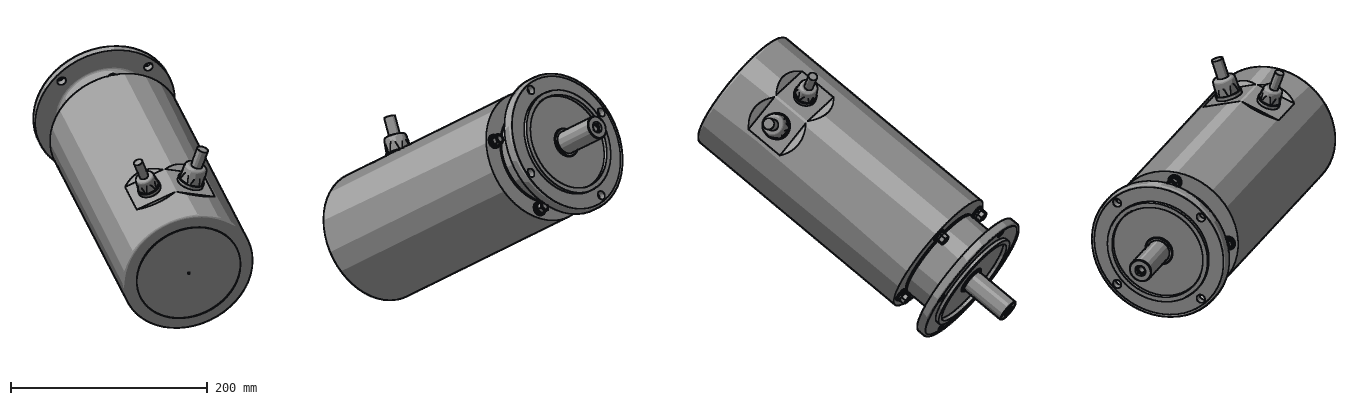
import cadquery as cq
import math


shaft_d = 24.0
shaft_chamfer = 0.7
collar_d = 30.0
collar_length = 1.5
collar_chamfer = 0.7
centre_hole_d = 7.0
centre_sink_d = 11.5
centre_bore_d = 8.7
centre_bore_end = 3.5
centre_hole_depth = 18.0
drill_point_angle = 118.0

pilot_x = 46.5
pilot_d = 110.0
pilot_recess_d = 100.0
pilot_recess_depth = 4.5
flange_x = 50.5
flange_d = 148.0
rim_bead_inner_d = 142.0
rim_bead_height = 1.0
flange_back_x = 58.8
flange_hole_d = 9.0
flange_hole_circle_d = 130.0
neck_d = 101.0
neck_fillet = 3.5
spigot_d = 101.5

overall_length = 363.0
housing_x = 94.7
housing_d = 138.0
housing_end_x = 361.2
housing_fillet = 3.3
end_disc_d = 110.0
end_disc_x = 362.3
end_nub_d = 1.8

tie_rod_count = 4
tie_rod_circle_d = 117.5
seat_d = 14.0
seat_height = 1.8
washer_d = 11.5
washer_height = 2.0
nut_across_flats = 9.8
nut_height = 5.5
nut_chamfer = 0.55
rod_d = 7.0
rod_projection = 0.7

gland_x = 294.0
gland_tilt = 19.0
pocket_half_angle = 17.9
pocket_floor_length = 42.5
pocket_top_length = 59.5
pocket_floor_r = housing_d / 2 * math.cos(math.radians(pocket_half_angle))

gland_base_height = 4.0
hex_sides = 6


def disc(diameter, start_x, end_x):
    """Cylinder on the motor axis between two X positions."""
    return cq.Workplane("YZ", origin=(start_x, 0, 0)).circle(diameter / 2).extrude(end_x - start_x)


def make_shaft():
    recess_floor_x = pilot_x + pilot_recess_depth
    shaft = disc(shaft_d, 0, recess_floor_x).faces("<X").chamfer(shaft_chamfer)
    collar = disc(collar_d, recess_floor_x - collar_length, recess_floor_x)
    collar = collar.faces("<X").chamfer(collar_chamfer)
    return shaft.union(collar)


def make_centre_hole():
    """Countersunk, counterbored blind hole with a drill point, revolved about the shaft axis."""
    hole_r = centre_hole_d / 2
    sink_r = centre_sink_d / 2
    bore_r = centre_bore_d / 2
    sink_depth = sink_r - bore_r
    point_length = hole_r / math.tan(math.radians(drill_point_angle / 2))
    profile = [
        (0, 0),
        (0, sink_r),
        (sink_depth, bore_r),
        (centre_bore_end, bore_r),
        (centre_bore_end, hole_r),
        (centre_hole_depth, hole_r),
        (centre_hole_depth + point_length, 0),
    ]
    return cq.Workplane("XY").polyline(profile).close().revolve(360, (0, 0, 0), (1, 0, 0))


def make_rim():
    """Outer ring of the flange, ending in a rounded bead that stands proud of the front face."""
    inner_r = rim_bead_inner_d / 2
    outer_r = flange_d / 2
    crest_x = flange_x - rim_bead_height
    crest_r = inner_r + rim_bead_height
    outer_round = outer_r - crest_r
    return (
        cq.Workplane("XY")
        .moveTo(flange_back_x, inner_r)
        .lineTo(flange_x, inner_r)
        .radiusArc((crest_x, crest_r), rim_bead_height)
        .radiusArc((crest_x + outer_round, outer_r), outer_round)
        .lineTo(flange_back_x, outer_r)
        .close()
        .revolve(360, (0, 0, 0), (1, 0, 0))
    )


def make_flange():
    holes = (
        cq.Workplane("YZ", origin=(flange_x, 0, 0))
        .polarArray(flange_hole_circle_d / 2, 45, 360, 4)
        .circle(flange_hole_d / 2)
        .extrude(flange_back_x - flange_x)
    )
    plate = disc(rim_bead_inner_d, flange_x, flange_back_x).cut(holes)
    return plate.union(make_rim()).union(disc(pilot_d, pilot_x, flange_x))


def make_neck():
    """Cylinder flaring into the back of the flange, with a wider spigot against the housing."""
    neck_r = neck_d / 2
    return (
        cq.Workplane("XY")
        .moveTo(flange_back_x, 0)
        .lineTo(flange_back_x, neck_r + neck_fillet)
        .radiusArc((flange_back_x + neck_fillet, neck_r), -neck_fillet)
        .lineTo(housing_x, neck_r)
        .lineTo(housing_x, 0)
        .close()
        .revolve(360, (0, 0, 0), (1, 0, 0))
        .union(disc(spigot_d, housing_x - seat_height, housing_x))
    )


def make_housing():
    barrel = disc(housing_d, housing_x, housing_end_x).faces(">X").edges().fillet(housing_fillet)
    end_disc = disc(end_disc_d, housing_end_x, end_disc_x)
    end_nub = disc(end_nub_d, end_disc_x, overall_length)
    return barrel.union(end_disc).union(end_nub)


def make_tie_rod_end():
    """One tie-rod end on the motor axis, with two nut corners pointing along Z."""
    seat_x = housing_x - seat_height
    washer_x = seat_x - washer_height
    nut_x = washer_x - nut_height
    nut_corner_d = nut_across_flats / math.cos(math.pi / hex_sides)
    nut = (
        cq.Workplane("YZ", origin=(nut_x, 0, 0))
        .polygon(hex_sides, nut_corner_d)
        .extrude(nut_height)
        .rotate((0, 0, 0), (1, 0, 0), 90)
    )
    nut_round = disc(nut_corner_d, nut_x, washer_x).edges().chamfer(nut_chamfer)
    rod = disc(rod_d, nut_x - rod_projection, nut_x)
    seat = disc(seat_d, seat_x, housing_x)
    washer = disc(washer_d, washer_x, seat_x)
    return seat.union(washer).union(nut.intersect(nut_round)).union(rod)


def tilt_to_side(shape, side):
    """Swing a shape standing on the Z axis to the gland position on the +Y (1) or -Y (-1) side."""
    return shape.rotate((0, 0, 0), (1, 0, 0), -side * gland_tilt).translate((gland_x, 0, 0))


def make_pocket_cutter(side):
    """Trough with a flat floor and two sloping ends, cut through the housing surface."""
    depth = housing_d / 2 - pocket_floor_r
    end_slope = (pocket_top_length - pocket_floor_length) / 2 / depth
    cutter_height = 2 * depth
    floor_half = pocket_floor_length / 2
    mouth_half = floor_half + end_slope * cutter_height
    cutter = (
        cq.Workplane("XZ")
        .polyline(
            [
                (-floor_half, pocket_floor_r),
                (floor_half, pocket_floor_r),
                (mouth_half, pocket_floor_r + cutter_height),
                (-mouth_half, pocket_floor_r + cutter_height),
            ]
        )
        .close()
        .extrude(housing_d / 2, both=True)
    )
    return tilt_to_side(cutter, side)


def make_motor():
    recess_floor_x = pilot_x + pilot_recess_depth
    motor = make_flange().cut(disc(pilot_recess_d, pilot_x, recess_floor_x))
    motor = motor.union(make_shaft()).cut(make_centre_hole())
    motor = motor.union(make_neck()).union(make_housing())
    tie_rod_end = make_tie_rod_end().translate((0, 0, tie_rod_circle_d / 2))
    for index in range(tie_rod_count):
        motor = motor.union(tie_rod_end.rotate((0, 0, 0), (1, 0, 0), index * 360 / tie_rod_count))
    for side in (1, -1):
        motor = motor.cut(make_pocket_cutter(side))
    return motor


def make_gland(side, base_d, nut_d, top_d, across_flats, body_height, top_fillet, cable_d, cable_length):
    """Cable gland standing on its pocket floor: tapered nut with six flats and a cable stub."""
    base = cq.Workplane("XY").circle(base_d / 2).extrude(gland_base_height)
    taper_height = body_height - gland_base_height
    taper_angle = math.degrees(math.atan((nut_d - top_d) / 2 / taper_height))
    nut_plane = cq.Workplane("XY", origin=(0, 0, gland_base_height))
    nut = nut_plane.circle(nut_d / 2).extrude(taper_height, taper=taper_angle)
    nut = nut.faces(">Z").edges().fillet(top_fillet)
    corner_d = across_flats / math.cos(math.pi / hex_sides)
    hexagon = nut_plane.polygon(hex_sides, corner_d).extrude(taper_height)
    hexagon = hexagon.rotate((0, 0, 0), (0, 0, 1), 180 / hex_sides)
    cable = cq.Workplane("XY", origin=(0, 0, body_height)).circle(cable_d / 2).extrude(cable_length)
    gland = base.union(nut.intersect(hexagon)).union(cable)
    return tilt_to_side(gland.translate((0, 0, pocket_floor_r)), side)


motor = make_motor()
power_gland = make_gland(
    side=1,
    base_d=27.2,
    nut_d=26.0,
    top_d=23.0,
    across_flats=24.0,
    body_height=21.0,
    top_fillet=3.3,
    cable_d=11.5,
    cable_length=20.0,
)
signal_gland = make_gland(
    side=-1,
    base_d=23.5,
    nut_d=22.5,
    top_d=19.0,
    across_flats=20.0,
    body_height=18.5,
    top_fillet=3.0,
    cable_d=9.0,
    cable_length=19.5,
)

result = cq.Compound.makeCompound([motor.val(), power_gland.val(), signal_gland.val()])